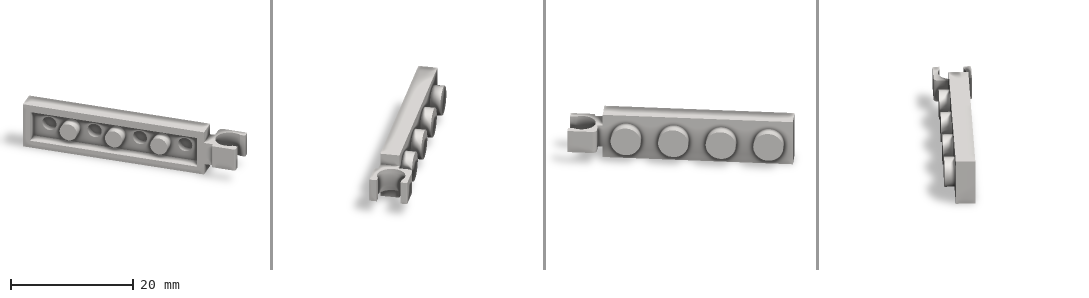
import cadquery as cq

total_length = 36.8
stud_count = 4
pitch = 7.8
plate_length = stud_count * pitch
plate_width = pitch
plate_thickness = 3.2

wall = 1.25
pocket_depth = 2.0
post_diameter = 2.95
hole_diameter = 2.43
hole_depth = plate_thickness - pocket_depth

stud_diameter = 4.93
stud_height = 1.75

clip_width = pitch / 2
clip_top = plate_thickness + 2.43
clip_bottom = -0.65
clip_back = plate_length + 0.8
clip_step = plate_length + 1.55
bore_radius = 2.3
bore_x = plate_length + 3.55
bore_y = 2.55
mouth_height = 3.97
back_radius = 0.75
neck_radius = 0.25
step_radius = 0.2
tip_radius = 0.15
clip_overlap = wall / 2

stud_centers = [(i + 0.5) * pitch for i in range(stud_count)]
post_centers = [i * pitch for i in range(1, stud_count)]


def cylinders(x_positions, diameter, y_start, height):
    """Round bars along +Y, centred on the plate's length axis."""
    plane = cq.Workplane("XZ", origin=(0, y_start, 0))
    points = [(x, 0) for x in x_positions]
    return plane.pushPoints(points).circle(diameter / 2).extrude(-height)


def box(x_start, x_end, y_start, y_end, width):
    """Box centred on Z = 0."""
    size = (x_end - x_start, y_end - y_start, width)
    center = ((x_start + x_end) / 2, (y_start + y_end) / 2, 0)
    return cq.Workplane("XY").box(*size).translate(center)


def round_corner(body, x, y, radius):
    """Fillet the Z-parallel edge that passes through (x, y)."""
    edge = cq.selectors.NearestToPointSelector((x, y, 0))
    return body.edges("|Z").edges(edge).fillet(radius)


def make_plate():
    plate = box(0, plate_length, 0, plate_thickness, plate_width)
    pocket = box(wall, plate_length - wall, 0, pocket_depth, plate_width - 2 * wall)
    posts = cylinders(post_centers, post_diameter, 0, pocket_depth)
    studs = cylinders(stud_centers, stud_diameter, plate_thickness, stud_height)
    holes = cylinders(stud_centers, hole_diameter, pocket_depth, hole_depth)
    return plate.cut(pocket).union(posts).union(studs).cut(holes)


def make_clip():
    neck = box(plate_length - clip_overlap, clip_step, 0, plate_thickness, clip_width)
    upper = box(clip_back, total_length, 0, clip_top, clip_width)
    lower = box(clip_step, total_length, clip_bottom, plate_thickness, clip_width)
    clip = neck.union(upper).union(lower).clean()
    clip = round_corner(clip, clip_back, clip_top, back_radius)
    clip = round_corner(clip, clip_back, plate_thickness, neck_radius)
    clip = round_corner(clip, clip_step, 0, step_radius)
    clip = round_corner(clip, clip_step, clip_bottom, tip_radius)
    clip = round_corner(clip, total_length, clip_top, tip_radius)
    clip = round_corner(clip, total_length, clip_bottom, tip_radius)

    bore = cq.Workplane("XY").center(bore_x, bore_y).circle(bore_radius)
    bore = bore.extrude(clip_width / 2, both=True)
    half_mouth = mouth_height / 2
    mouth = box(bore_x, total_length, bore_y - half_mouth, bore_y + half_mouth, clip_width)
    return clip.cut(bore).cut(mouth)


result = make_plate().union(make_clip())